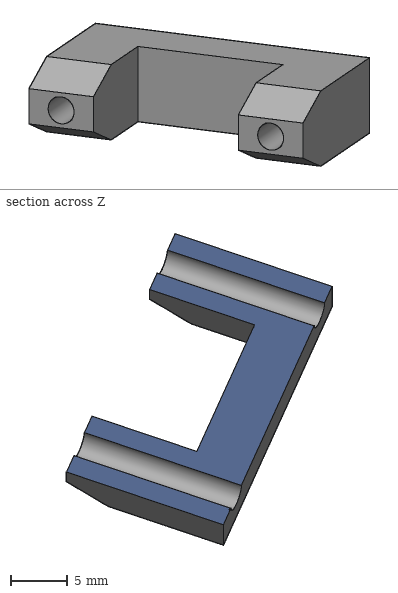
import cadquery as cq
import math

width = 26.5
depth = 15.0
height = 7.0

gap_width = 14.0
bar_depth = 5.0
leg_width = (width - gap_width) / 2
leg_length = depth - bar_depth

taper_length = 4.0
taper_angle = 25.0
taper_drop = taper_length * math.tan(math.radians(taper_angle))
tip_half_height = height / 2 - taper_drop

hole_diameter = 2.5
hole_spacing = gap_width + leg_width



def make_tapered_block():
    """Full-width block with the side profile of the legs."""
    half_height = height / 2
    profile = [
        (0, -tip_half_height),
        (taper_length, -half_height),
        (depth, -half_height),
        (depth, half_height),
        (taper_length, half_height),
        (0, tip_half_height),
    ]
    return cq.Workplane("YZ").polyline(profile).close().extrude(width / 2, both=True)


def make_gap():
    """Opening between the legs, through the full height."""
    return cq.Workplane("XY").box(gap_width, leg_length, height, centered=(True, False, True))


def make_leg_holes():
    """Two holes running from the leg tips through the back of the bar."""
    return (
        cq.Workplane("XZ")
        .pushPoints([(side * hole_spacing / 2, 0) for side in (-1, 1)])
        .circle(hole_diameter / 2)
        .extrude(-depth)
    )


result = make_tapered_block().cut(make_gap()).cut(make_leg_holes())